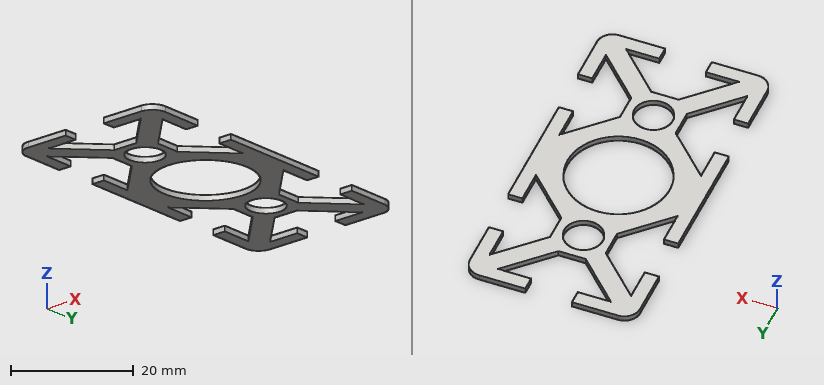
import cadquery as cq

cell = 30.0
length = 2 * cell
thickness = 1.0
corner_radius = 2.75
lip = 2.5
opening = 8.2
hub = 9.85
web_offset = 2.5
small_bore = 6.8
large_bore = 18.0

half_cell = cell / 2
lip_inner = half_cell - lip
hub_half = hub / 2
cavity_outer_half = lip_inner - web_offset
cavity_inner_half = hub_half - web_offset


def slot_cutter(cell_y, angle):
    """T-slot on one side of a cell; at angle 0 the slot opens toward +Y."""
    half_profile = [
        (opening / 2, half_cell),
        (opening / 2, lip_inner),
        (cavity_outer_half, lip_inner),
        (cavity_inner_half, hub_half),
    ]
    mirrored = [(-x, y) for x, y in reversed(half_profile)]
    cutter = cq.Workplane("XY").polyline(half_profile + mirrored).close().extrude(thickness)
    return cutter.rotate((0, 0, 0), (0, 0, 1), angle).translate((0, cell_y, 0))


plate = cq.Workplane("XY").rect(cell, length).extrude(thickness)
plate = plate.edges("|Z").fillet(corner_radius)

for cell_y, end_angle in ((half_cell, 0), (-half_cell, 180)):
    for angle in (90, -90, end_angle):
        plate = plate.cut(slot_cutter(cell_y, angle))

small_holes = (
    cq.Workplane("XY")
    .pushPoints([(0, half_cell), (0, -half_cell)])
    .circle(small_bore / 2)
    .extrude(thickness)
)
large_hole = cq.Workplane("XY").circle(large_bore / 2).extrude(thickness)

result = plate.cut(small_holes).cut(large_hole)